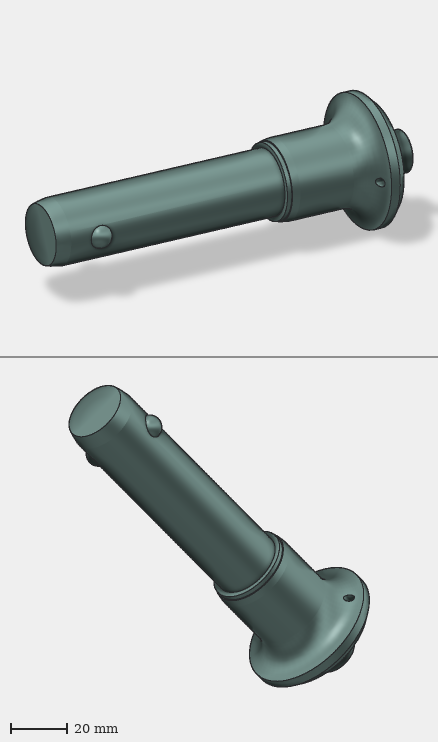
import cadquery as cq
import math

length = 146.8
tip_y = -length / 2
button_end_y = length / 2

button_radius = 8.0
button_length = 11.3
button_chamfer = 0.3

flange_diameter = 50.0
flange_radius = flange_diameter / 2
bevel = 3.5
rim_width = 3.5
sleeve_radius = 15.3
sleeve_length = 21.7
collar_taper_length = 3.1
collar_radius = 14.8
collar_end_radius = 14.4
collar_end_length = 1.8

shank_radius = 12.5
tip_radius = 11.3
tip_length = 5.6
tip_bulge = 0.1

ball_radius = 4.4
ball_reach = 15.5
ball_from_tip = 17.8

lanyard_hole_radius = 1.6
lanyard_hole_x = 19.8

flange_back_y = button_end_y - button_length
rim_back_y = flange_back_y - bevel
rim_front_y = rim_back_y - rim_width
flare_radius = flange_radius - sleeve_radius
flare_end_y = rim_front_y - flare_radius
sleeve_end_y = flare_end_y - sleeve_length
collar_step_y = sleeve_end_y - collar_taper_length
collar_end_y = collar_step_y - collar_end_length
taper_y = tip_y + tip_length


def make_body():
    """Revolve the half profile of button, handle and shank about the Y axis."""
    flare_mid = (
        flange_radius - flare_radius * math.cos(math.pi / 4),
        flare_end_y + flare_radius * math.cos(math.pi / 4),
    )
    tip_mid = ((shank_radius + tip_radius) / 2 + tip_bulge, tip_y + tip_length / 2)
    profile = (
        cq.Workplane("XY")
        .moveTo(0, button_end_y)
        .lineTo(button_radius - button_chamfer, button_end_y)
        .lineTo(button_radius, button_end_y - button_chamfer)
        .lineTo(button_radius, flange_back_y)
        .lineTo(flange_radius - bevel, flange_back_y)
        .lineTo(flange_radius, rim_back_y)
        .lineTo(flange_radius, rim_front_y)
        .threePointArc(flare_mid, (sleeve_radius, flare_end_y))
        .lineTo(sleeve_radius, sleeve_end_y)
        .lineTo(collar_radius, collar_step_y)
        .lineTo(collar_end_radius, collar_step_y)
        .lineTo(collar_end_radius, collar_end_y)
        .lineTo(shank_radius, collar_end_y)
        .lineTo(shank_radius, taper_y)
        .threePointArc(tip_mid, (tip_radius, tip_y))
        .lineTo(0, tip_y)
        .close()
    )
    return profile.revolve(360, (0, 0, 0), (0, 1, 0))


def make_ball(side):
    """Locking ball on the +X (side = 1) or -X (side = -1) flank of the shank."""
    center = (side * (ball_reach - ball_radius), tip_y + ball_from_tip, 0)
    return cq.Workplane("XY").sphere(ball_radius).translate(center)


def make_lanyard_hole():
    """Cutter parallel to Y, passing through the whole flange and its flare."""
    return (
        cq.Workplane("XZ", origin=(lanyard_hole_x, flange_back_y, 0))
        .circle(lanyard_hole_radius)
        .extrude(flange_back_y - flare_end_y)
    )


result = make_body()
for side in (-1, 1):
    result = result.union(make_ball(side))
result = result.cut(make_lanyard_hole())